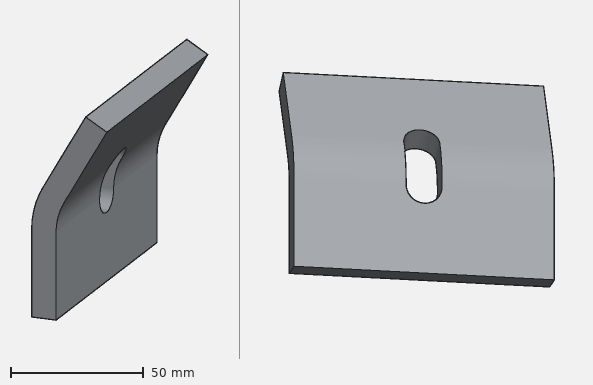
import cadquery as cq
import math

plate_width = 100.0
thickness = 10.0
flange_length = 34.8
outer_radius = 35.0
bend_angle = 30.0
slot_width = 13.8
slot_overrun = 0.4
cut_margin = 2.0

inner_radius = outer_radius - thickness
sin_bend = math.sin(math.radians(bend_angle))
cos_bend = math.cos(math.radians(bend_angle))


def bend_point(radius, angle):
    """XZ point at a radius and angle (degrees) around the bend axis."""
    radians = math.radians(angle)
    return (
        outer_radius - radius * math.cos(radians),
        flange_length + radius * math.sin(radians),
    )


def along_upper_flange(point, distance):
    """Move a point up the slope of the upper flange."""
    return (point[0] + distance * sin_bend, point[1] + distance * cos_bend)


def down_lower_flange(point, distance):
    """Move a point straight down the lower flange."""
    return (point[0], point[1] - distance)


def bent_plate():
    outer_end = bend_point(outer_radius, bend_angle)
    inner_end = bend_point(inner_radius, bend_angle)
    return (
        cq.Workplane("XZ")
        .moveTo(0, 0)
        .lineTo(0, flange_length)
        .threePointArc(bend_point(outer_radius, bend_angle / 2), outer_end)
        .lineTo(*along_upper_flange(outer_end, flange_length))
        .lineTo(*along_upper_flange(inner_end, flange_length))
        .lineTo(*inner_end)
        .threePointArc(bend_point(inner_radius, bend_angle / 2), (thickness, flange_length))
        .lineTo(thickness, 0)
        .close()
        .extrude(plate_width / 2, both=True)
    )


def slot_end(start, direction):
    """Round slot end drilled from a point outside the plate."""
    return cq.Workplane(
        obj=cq.Solid.makeCylinder(
            slot_width / 2,
            thickness + 2 * cut_margin,
            cq.Vector(start[0], 0, start[1]),
            cq.Vector(*direction),
        )
    )


def slot_tool():
    """Slot that follows the bend, with each round end square to its flange."""
    tool_outer = outer_radius + cut_margin
    tool_inner = inner_radius - cut_margin
    outer_start = bend_point(tool_outer, 0)
    inner_start = bend_point(tool_inner, 0)
    outer_end = bend_point(tool_outer, bend_angle)
    inner_end = bend_point(tool_inner, bend_angle)
    lower_centre = down_lower_flange(outer_start, slot_overrun)
    upper_centre = along_upper_flange(outer_end, slot_overrun)
    middle = (
        cq.Workplane("XZ")
        .moveTo(*lower_centre)
        .lineTo(*outer_start)
        .threePointArc(bend_point(tool_outer, bend_angle / 2), outer_end)
        .lineTo(*upper_centre)
        .lineTo(*along_upper_flange(inner_end, slot_overrun))
        .lineTo(*inner_end)
        .threePointArc(bend_point(tool_inner, bend_angle / 2), inner_start)
        .lineTo(*down_lower_flange(inner_start, slot_overrun))
        .close()
        .extrude(slot_width / 2, both=True)
    )
    lower_end = slot_end(lower_centre, (1, 0, 0))
    upper_end = slot_end(upper_centre, (cos_bend, 0, -sin_bend))
    return middle.union(lower_end).union(upper_end)


result = bent_plate().cut(slot_tool())